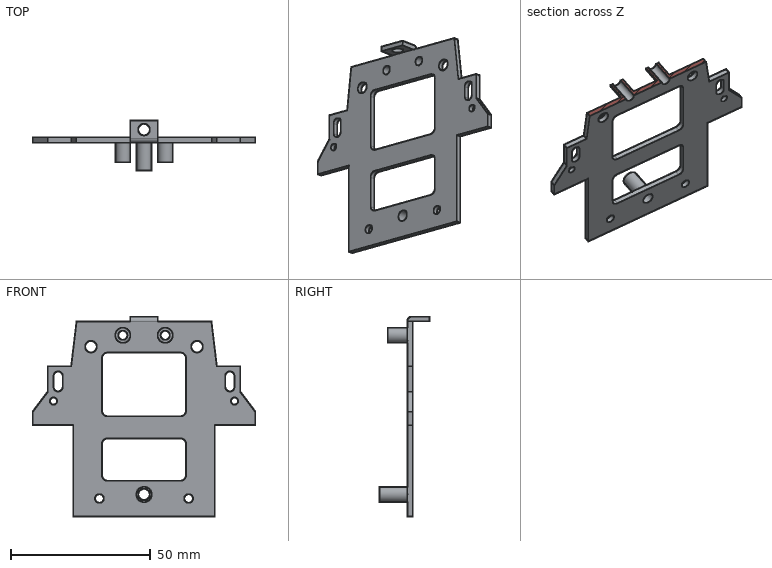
import cadquery as cq

overall_width = 80
overall_height = 71.8
plate_thickness = 2.0
plate_top = 70.0
body_half_width = 25.4
neck_half_width = 26.2
top_half_width = 24.2

tip_half_width = overall_width / 2
shoulder_half_width = 34.6
wing_bottom = 32.8
tip_top = 37.6
shoulder_bottom = 44.8
shoulder_top = 54.0

window_width = 30.1
window_corner_radius = 2.0
upper_window_bottom = 36
upper_window_top = 58.8
lower_window_bottom = 12.9
lower_window_top = 28

plate_holes = [
    (19.0, 61.0, 4.1),
    (32.5, 41.4, 2.5),
    (16, 6.5, 3.0),
]

slot_offset = 30.8
slot_height = 48.5
slot_length = 7.1
slot_width = 3.2

upper_post_offset = 7.6
upper_post_height = 65.0
upper_post_diameter = 5.4
upper_post_bore = 3.2
upper_post_length = 7.0
lower_post_height = 7.9
lower_post_diameter = 5.5
lower_post_bore = 4
lower_post_length = 10.0

tab_width = 10.0
tab_depth = 8
tab_bend_radius = 1.6
tab_hole_diameter = 4.1
tab_hole_from_back = 3.3


def front_plane(y=0):
    """Sketch plane facing -Y, with local axes along X and Z."""
    return cq.Workplane("XZ", origin=(0, y, 0))


def make_plate():
    right_side = [
        (body_half_width, 0),
        (body_half_width, wing_bottom),
        (tip_half_width, wing_bottom),
        (tip_half_width, tip_top),
        (shoulder_half_width, shoulder_bottom),
        (shoulder_half_width, shoulder_top),
        (neck_half_width, shoulder_top),
        (top_half_width, plate_top),
    ]
    left_side = [(-x, z) for x, z in reversed(right_side)]
    return front_plane().polyline(right_side + left_side).close().extrude(-plate_thickness)


def make_window(bottom, top):
    return (
        front_plane()
        .center(0, (bottom + top) / 2)
        .rect(window_width, top - bottom)
        .extrude(-plate_thickness)
        .edges("|Y")
        .fillet(window_corner_radius)
    )


def make_tab():
    tab_thickness = overall_height - plate_top
    tab = (
        cq.Workplane("XY", origin=(0, 0, plate_top))
        .box(tab_width, tab_depth, tab_thickness, centered=(True, False, False))
        .faces("<Y")
        .edges(">Z")
        .fillet(tab_bend_radius)
    )
    hole = (
        cq.Workplane("XY", origin=(0, tab_depth - tab_hole_from_back, plate_top))
        .circle(tab_hole_diameter / 2)
        .extrude(tab_thickness)
    )
    return tab.cut(hole)


def add_post(body, x, z, diameter, bore, length):
    """Add a post in front of the plate and bore it through the plate."""
    post = front_plane().center(x, z).circle(diameter / 2).extrude(length)
    bore_cut = (
        front_plane(plate_thickness)
        .center(x, z)
        .circle(bore / 2)
        .extrude(plate_thickness + length)
    )
    return body.union(post).cut(bore_cut)


result = make_plate().union(make_tab())
result = result.cut(make_window(upper_window_bottom, upper_window_top))
result = result.cut(make_window(lower_window_bottom, lower_window_top))

for offset, height, diameter in plate_holes:
    holes = front_plane().pushPoints([(-offset, height), (offset, height)])
    result = result.cut(holes.circle(diameter / 2).extrude(-plate_thickness))

slots = front_plane().pushPoints([(-slot_offset, slot_height), (slot_offset, slot_height)])
result = result.cut(slots.slot2D(slot_length, slot_width, 90).extrude(-plate_thickness))

for x in (-upper_post_offset, upper_post_offset):
    result = add_post(
        result, x, upper_post_height, upper_post_diameter, upper_post_bore, upper_post_length)
result = add_post(
    result, 0, lower_post_height, lower_post_diameter, lower_post_bore, lower_post_length)